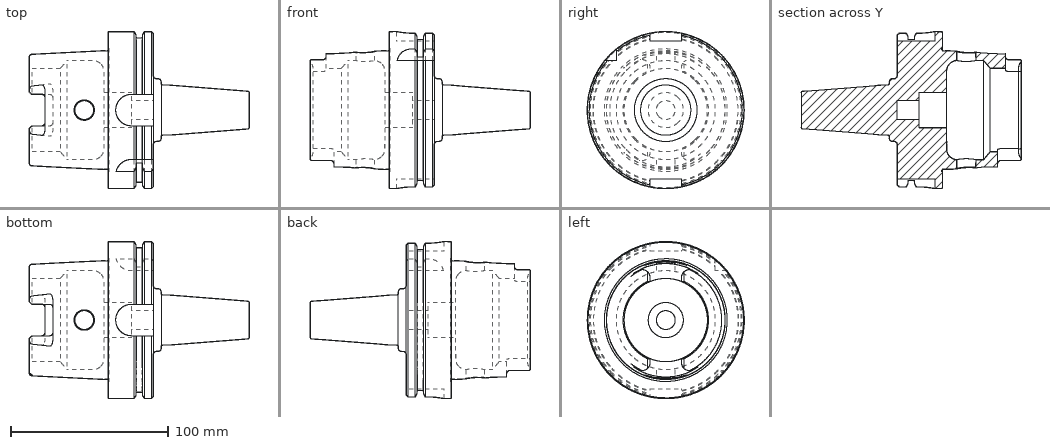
import cadquery as cq
import math


shank_length = 50.0
shank_large_radius = 37.87
shank_taper_end = -2.3
shank_slope = 0.05
shank_end_round = 1.8
shank_end_radius = shank_large_radius - shank_slope * (shank_length + shank_taper_end)

neck_radius = 75.42 / 2
neck_start = -1.2
relief_depth = 0.65
relief_radius = 39.1
relief_round = 1.3

mouth_radius = 53.0 / 2
mouth_chamfer_height = 0.7
mouth_chamfer_length = 1.9
mouth_end = -30.2
clamp_radius = 63.0 / 2
clamp_cone_angle = math.radians(50)
clamp_cone_end = mouth_end + (clamp_radius - mouth_radius) / math.tan(clamp_cone_angle)
clamp_wall_end = -9.3
cavity_floor_radius = 24.75
cavity_floor_round = clamp_radius - cavity_floor_radius
cavity_floor = clamp_wall_end + cavity_floor_round
thread_radius = 22.38 / 2
thread_end = 15.0
coolant_radius = 12.0 / 2
coolant_end = 29.0

flange_radius = 100.0 / 2
flange_length = 29.0
flange_face_chamfer = 0.5
flange_back_chamfer = 1.3
groove_center = 20.0
groove_radius = 46.0
groove_half_floor = 2.0
groove_half_mouth = 3.2
groove_flank_angle = math.radians(30)
groove_flank_height = (groove_half_mouth - groove_half_floor) / math.tan(groove_flank_angle)
groove_wall_radius = flange_radius - groove_flank_height
groove_corner_round = 0.4

collar_radius = 40.0 / 2
collar_end = 34.0
collar_round = 2.0
collar_root_round = 2.0
nose_end = 90.0
nose_radius = 32.0 / 2
nose_tip_radius = 24.0 / 2
nose_half_angle = math.radians(4.5)
nose_taper_start = nose_end - (nose_radius - nose_tip_radius) / math.tan(nose_half_angle)
nose_root_round = 1.0
nose_tip_round = 1.0

drive_half_width = 10.0
drive_wall_height = 27.1
drive_flare_round = 5.0
drive_shoulder_half_width = 20.0
drive_floor_round = 2.0
drive_entry_chamfer = 1.66
drive_depth_top = 10.0
drive_depth_bottom = 15.0

cross_hole_x = -15.0
cross_hole_radius = 12.0 / 2
cross_hole_chamfer = 0.5

slot_width = 20.0
slot_start = 5.0
slot_floor_height = 44.0
notch_offset = 31.4

cut_margin = 1.0
selection_margin = 0.1
tolerance = 0.01


def revolve_about_x(profile):
    return profile.close().revolve(360, (0, 0, 0), (1, 0, 0))


def circles_at(body, x, radius):
    """Circular edges around the X axis at the given station and radius."""
    found = []
    for edge in body.edges("%CIRCLE").vals():
        center = edge.arcCenter()
        on_axis = math.hypot(center.y, center.z) < tolerance
        if on_axis and abs(center.x - x) < tolerance and abs(edge.radius() - radius) < tolerance:
            found.append(edge)
    return body.newObject(found)


def make_turned_body():
    groove_left = groove_center - groove_half_floor
    groove_right = groove_center + groove_half_floor
    profile = (
        cq.Workplane("XY")
        .moveTo(-shank_length, 0)
        .lineTo(-shank_length, shank_end_radius)
        .lineTo(shank_taper_end, shank_large_radius)
        .lineTo(neck_start, neck_radius)
        .lineTo(relief_depth, neck_radius)
        .lineTo(relief_depth, relief_radius)
        .lineTo(0, relief_radius)
        .lineTo(0, flange_radius)
        .lineTo(groove_center - groove_half_mouth, flange_radius)
        .lineTo(groove_left, groove_wall_radius)
        .lineTo(groove_left, groove_radius)
        .lineTo(groove_right, groove_radius)
        .lineTo(groove_right, groove_wall_radius)
        .lineTo(groove_center + groove_half_mouth, flange_radius)
        .lineTo(flange_length, flange_radius)
        .lineTo(flange_length, collar_radius)
        .lineTo(collar_end, collar_radius)
        .lineTo(collar_end, nose_radius)
        .lineTo(nose_taper_start, nose_radius)
        .lineTo(nose_end, nose_tip_radius)
        .lineTo(nose_end, 0)
    )
    body = revolve_about_x(profile)
    rounds = [
        (-shank_length, shank_end_radius, shank_end_round),
        (relief_depth, neck_radius, relief_round),
        (groove_left, groove_radius, groove_corner_round),
        (groove_right, groove_radius, groove_corner_round),
        (flange_length, collar_radius, collar_root_round),
        (collar_end, collar_radius, collar_round),
        (collar_end, nose_radius, nose_root_round),
        (nose_end, nose_tip_radius, nose_tip_round),
    ]
    for x, radius, size in rounds:
        body = circles_at(body, x, radius).fillet(size)
    body = circles_at(body, 0, flange_radius).chamfer(flange_face_chamfer)
    return circles_at(body, flange_length, flange_radius).chamfer(flange_back_chamfer)


def make_cavity():
    profile = (
        cq.Workplane("XY")
        .moveTo(-shank_length, 0)
        .lineTo(-shank_length, mouth_radius + mouth_chamfer_height)
        .lineTo(-shank_length + mouth_chamfer_length, mouth_radius)
        .lineTo(mouth_end, mouth_radius)
        .lineTo(clamp_cone_end, clamp_radius)
        .lineTo(cavity_floor, clamp_radius)
        .lineTo(cavity_floor, thread_radius)
        .lineTo(thread_end, thread_radius)
        .lineTo(thread_end, coolant_radius)
        .lineTo(coolant_end, coolant_radius)
        .lineTo(coolant_end, 0)
    )
    cavity = revolve_about_x(profile)
    return circles_at(cavity, cavity_floor, clamp_radius).fillet(cavity_floor_round)


def make_drive_slot(depth):
    """Slot at the +Z side whose walls flare outwards in a round towards the shank surface."""
    flare_middle = drive_flare_round * math.sqrt(0.5)
    flare_center_y = drive_half_width + drive_flare_round
    shoulder_height = drive_wall_height + drive_flare_round
    half = (
        cq.Workplane("YZ", origin=(-shank_length, 0, 0))
        .moveTo(0, 0)
        .lineTo(drive_half_width, 0)
        .lineTo(drive_half_width, drive_wall_height)
        .threePointArc(
            (flare_center_y - flare_middle, drive_wall_height + flare_middle),
            (flare_center_y, shoulder_height),
        )
        .lineTo(drive_shoulder_half_width, shoulder_height)
        .lineTo(drive_shoulder_half_width, flange_radius)
        .lineTo(0, flange_radius)
        .close()
        .extrude(depth)
    )
    slot = half.union(half.mirror("XZ"))
    floor_x = -shank_length + depth
    reach = drive_shoulder_half_width - selection_margin
    wall_foot = cq.selectors.BoxSelector(
        (floor_x - selection_margin, -reach, selection_margin),
        (floor_x + selection_margin, reach, shoulder_height + selection_margin),
    )
    slot = slot.edges(wall_foot).fillet(drive_floor_round)
    entry_half_width = drive_half_width + drive_entry_chamfer
    entry = (
        cq.Workplane("XY")
        .moveTo(-shank_length, -entry_half_width)
        .lineTo(-shank_length, entry_half_width)
        .lineTo(-shank_length + entry_half_width, 0)
        .close()
        .extrude(flange_radius)
    )
    entry_limit = cq.Workplane("XY").box(
        drive_entry_chamfer, 2 * entry_half_width, flange_radius, centered=(False, True, False)
    )
    return slot.union(entry.intersect(entry_limit.translate((-shank_length, 0, 0))))


def make_cross_hole():
    return (
        cq.Workplane("XY", origin=(cross_hole_x, 0, -flange_radius))
        .circle(cross_hole_radius)
        .extrude(2 * flange_radius)
    )


def chamfer_cross_hole(body):
    """Break the two outer rims of the cross hole."""
    reach = cross_hole_radius + selection_margin
    for side in (1, -1):
        rim = cq.selectors.BoxSelector(
            (cross_hole_x - reach, -reach, side * (clamp_radius + cut_margin)),
            (cross_hole_x + reach, reach, side * flange_radius),
            boundingbox=True,
        )
        body = body.edges(rim).chamfer(cross_hole_chamfer)
    return body


def make_flange_slot(center_y, floor_height):
    """Slot along X, open at the back of the flange, with a round front end and a flat floor."""
    radius = slot_width / 2
    round_x = slot_start + radius
    base = cq.Workplane("XY", origin=(0, 0, floor_height))
    height = flange_radius - floor_height + cut_margin
    channel = (
        base.center(round_x, center_y)
        .rect(flange_length, slot_width)
        .extrude(height)
        .translate((flange_length / 2, 0, 0))
    )
    return channel.union(base.center(round_x, center_y).circle(radius).extrude(height))


def half_turn(body):
    return body.rotate((0, 0, 0), (1, 0, 0), 180)


result = make_turned_body().cut(make_cavity())
result = result.cut(make_drive_slot(drive_depth_top))
result = result.cut(half_turn(make_drive_slot(drive_depth_bottom)))
result = chamfer_cross_hole(result.cut(make_cross_hole()))

flange_slot = make_flange_slot(0, slot_floor_height)
result = result.cut(flange_slot).cut(half_turn(flange_slot))
result = result.cut(make_flange_slot(-notch_offset - slot_width / 2, notch_offset))